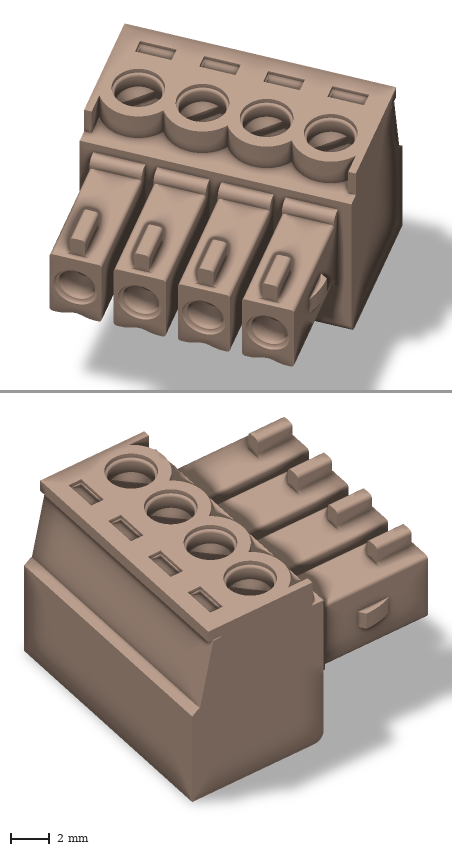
import cadquery as cq
import math


pole_count = 4
pole_pitch = 3.5
pole_positions = [(i - (pole_count - 1) / 2) * pole_pitch for i in range(pole_count)]

housing_width = 14.8
housing_depth = 8.4
housing_height = 11.1
front_bottom_radius = 0.6
shelf_depth = 0.72
shelf_height = 9.53
lip_back = 7.36
lip_underside = 10.39
lip_slit_front = 6.5
lip_slit_height = 0.06
slope_top = 7.04
slope_bottom = 7.9
slope_foot_height = 6.16
back_bevel_y = 7.97
back_bevel_height = 5.83

screw_y = 3.12
collar_radius = 2.09
shaft_mouth_radius = 1.39
shaft_mouth_depth = 0.27
shaft_radius = 1.23
screw_top_depth = 1.01
screw_radius = 1.1
screw_edge_drop = 0.12
screw_slot_width = 0.62
screw_slot_depth = 0.56

window_y = 5.99
window_width = 2.0
window_length = 0.81
window_depth = 0.2
window_ramp_width = 1.78
window_ramp_back = 6.24
window_ramp_front = 5.66
window_ramp_angle = 22

plug_width = 2.84
plug_length = 7.2
plug_bottom = 4.23
plug_top = 8.36
plug_edge_radius = 0.19
arch_half_width = 1.05
arch_rise = 0.22

root_length = 0.64
root_top = 8.92
root_radius = 0.45
root_bottom = 3.96
root_foot = 3.35
root_land = 0.11

socket_height = 6.33
socket_mouth_radius = 1.2
socket_bore_radius = 1.0
socket_floor_radius = 0.6
socket_bore_end = 1.1
socket_depth = 1.5

rib_width = 0.83
rib_length = 2.22
rib_back = -4.68
rib_top = 9.55
rib_edge_radius = 0.2
rib_base_radius = 0.2

lug_reach = 0.39
lug_height = 1.03
lug_back = -2.75
lug_shoulder = -3.0
lug_front = -4.75
lug_bulge_y = -3.75
lug_bulge = 0.33


def housing():
    profile = (
        cq.Workplane("YZ")
        .moveTo(0, front_bottom_radius)
        .lineTo(0, shelf_height)
        .lineTo(shelf_depth, shelf_height)
        .lineTo(shelf_depth, housing_height)
        .lineTo(lip_back, housing_height)
        .lineTo(lip_back, lip_underside)
        .lineTo(lip_slit_front, lip_underside)
        .lineTo(lip_slit_front, lip_underside - lip_slit_height)
        .lineTo(slope_top, lip_underside - lip_slit_height)
        .lineTo(slope_bottom, slope_foot_height)
        .lineTo(back_bevel_y, slope_foot_height)
        .lineTo(housing_depth, back_bevel_height)
        .lineTo(housing_depth, 0)
        .lineTo(front_bottom_radius, 0)
        .radiusArc((0, front_bottom_radius), front_bottom_radius)
        .close()
    )
    return profile.extrude(housing_width / 2, both=True)


def collar_relief():
    """Space in front of the collars, between the two end walls."""
    width = pole_count * pole_pitch
    height = housing_height - shelf_height
    relief = cq.Workplane("XY", origin=(0, 0, shelf_height)).rect(width, 2 * screw_y).extrude(height)
    for x in pole_positions:
        collar = cq.Workplane("XY", origin=(x, screw_y, shelf_height)).circle(collar_radius).extrude(height)
        relief = relief.cut(collar)
    return relief


def screw_shaft(x):
    """Stepped shaft with a slotted screw head at its floor."""
    ledge_radius = shaft_mouth_radius - shaft_radius
    ledge_end = shaft_mouth_depth + ledge_radius
    shaft = (
        cq.Workplane("XZ")
        .lineTo(shaft_mouth_radius, 0)
        .lineTo(shaft_mouth_radius, -shaft_mouth_depth)
        .radiusArc((shaft_radius, -ledge_end), -ledge_radius)
        .lineTo(shaft_radius, -screw_top_depth - screw_edge_drop)
        .lineTo(screw_radius, -screw_top_depth)
        .lineTo(0, -screw_top_depth)
        .close()
        .revolve(360, (0, 0, 0), (0, 1, 0))
    )
    slot_floor = screw_top_depth + screw_slot_depth
    slot = (
        cq.Workplane("XY", origin=(0, 0, -slot_floor))
        .circle(shaft_radius)
        .extrude(slot_floor - ledge_end)
        .intersect(
            cq.Workplane("XY")
            .box(2 * shaft_mouth_radius, screw_slot_width, 2 * slot_floor)
            .rotate((0, 0, 0), (0, 0, 1), 45)
        )
    )
    return shaft.union(slot).translate((x, screw_y, housing_height))


def window(x):
    """Rectangular pocket with a narrower ramp sloping down toward the front."""
    ramp_length = window_ramp_back - window_ramp_front
    ramp_drop = ramp_length * math.tan(math.radians(window_ramp_angle))
    pocket = (
        cq.Workplane("XY", origin=(0, window_y, -window_depth))
        .rect(window_width, window_length)
        .extrude(window_depth)
    )
    ramp = (
        cq.Workplane("YZ", origin=(0, 0, -window_depth))
        .moveTo(window_ramp_back, 0)
        .lineTo(window_ramp_front, 0)
        .lineTo(window_ramp_front, -ramp_drop)
        .close()
        .extrude(window_ramp_width / 2, both=True)
    )
    return pocket.union(ramp).translate((x, 0, housing_height))


def plug(x):
    half = plug_width / 2
    edge = plug_edge_radius
    body = (
        cq.Workplane("XZ")
        .moveTo(-half, plug_bottom + edge)
        .lineTo(-half, plug_top - edge)
        .radiusArc((-half + edge, plug_top), edge)
        .lineTo(half - edge, plug_top)
        .radiusArc((half, plug_top - edge), edge)
        .lineTo(half, plug_bottom + edge)
        .radiusArc((half - edge, plug_bottom), edge)
        .lineTo(arch_half_width, plug_bottom)
        .spline(
            [(0, plug_bottom + arch_rise), (-arch_half_width, plug_bottom)],
            tangents=[(-1, 0), (-1, 0), (-1, 0)],
            includeCurrent=True,
        )
        .lineTo(-half + edge, plug_bottom)
        .radiusArc((-half, plug_bottom + edge), edge)
        .close()
        .extrude(plug_length)
    )
    root = (
        cq.Workplane("YZ")
        .moveTo(0, root_foot)
        .lineTo(0, root_top)
        .lineTo(root_radius - root_length, root_top)
        .radiusArc((-root_length, root_top - root_radius), -root_radius)
        .lineTo(-root_length, root_bottom)
        .lineTo(root_land - root_length, root_bottom)
        .close()
        .extrude(half, both=True)
    )
    return body.union(root).union(rib()).cut(socket()).translate((x, 0, 0))


def rib():
    """Coding rib with rounded top edges and concave fillets at its base."""
    half = rib_width / 2
    base_half = half + rib_base_radius
    base_top = plug_top + rib_base_radius
    crown_half = half - rib_edge_radius
    shoulder = rib_top - rib_edge_radius
    return (
        cq.Workplane("XZ", origin=(0, rib_back, 0))
        .moveTo(-base_half, plug_top)
        .radiusArc((-half, base_top), -rib_base_radius)
        .lineTo(-half, shoulder)
        .radiusArc((-crown_half, rib_top), rib_edge_radius)
        .lineTo(crown_half, rib_top)
        .radiusArc((half, shoulder), rib_edge_radius)
        .lineTo(half, base_top)
        .radiusArc((base_half, plug_top), -rib_base_radius)
        .close()
        .extrude(rib_length)
    )


def socket():
    """Round socket with a rounded mouth and a conical end, opening at the plug tip."""
    tip = -plug_length
    mouth_rounding = socket_mouth_radius - socket_bore_radius
    return (
        cq.Workplane("XY")
        .moveTo(0, tip)
        .lineTo(socket_mouth_radius, tip)
        .radiusArc((socket_bore_radius, tip + mouth_rounding), -mouth_rounding)
        .lineTo(socket_bore_radius, tip + socket_bore_end)
        .lineTo(socket_floor_radius, tip + socket_depth)
        .lineTo(0, tip + socket_depth)
        .close()
        .revolve(360, (0, 0, 0), (0, 1, 0))
        .translate((0, 0, socket_height))
    )


def lug():
    """Snap lug on the outer side of the last plug."""
    side = pole_positions[-1] + plug_width / 2
    return (
        cq.Workplane("XY", origin=(side, 0, socket_height - lug_height / 2))
        .moveTo(0, lug_back)
        .lineTo(lug_reach, lug_shoulder)
        .threePointArc((lug_bulge, lug_bulge_y), (0, lug_front))
        .close()
        .extrude(lug_height)
    )


result = housing().cut(collar_relief())
for pole_x in pole_positions:
    result = result.cut(screw_shaft(pole_x)).cut(window(pole_x)).union(plug(pole_x))
result = result.union(lug()).union(lug().mirror("YZ"))